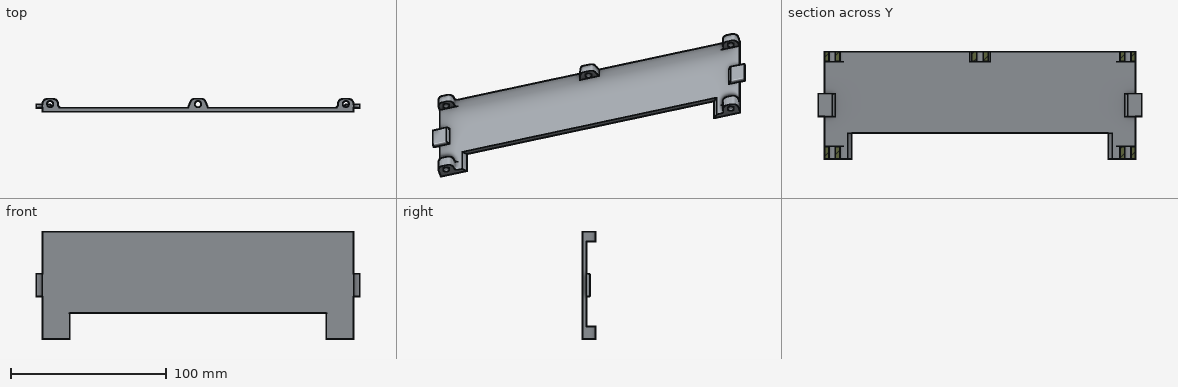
import cadquery as cq

total_length = 208.0
tab_reach = 4.0
plate_length = total_length - 2 * tab_reach
plate_height = 69.0
plate_thickness = 2.7
half_length = plate_length / 2

foot_width = 17.7
notch_height = 16.6

lug_depth = 8.5
end_lug_width = 10.2
end_lug_corner_radius = 3.5
end_lug_root_radius = 1.9
upper_lug_height = 6.5
lower_lug_height = 8.1
middle_lug_base = 13.0
middle_lug_top = 8.3
middle_lug_corner_radius = 3.0
hole_diameter = 4.0
hole_offset = 5.0

tab_front = 2.5
tab_back = 5.0
tab_bottom = 27.2
tab_height = 14.8
tab_fillet = 1.0
tab_root_length = 5.0
tab_slope_length = 2.0


def make_plate():
    notch_length = plate_length - 2 * foot_width
    plate = cq.Workplane("XY").box(
        plate_length, plate_thickness, plate_height, centered=(True, False, False)
    )
    half_notch_front = notch_length / 2
    half_notch_back = half_notch_front + plate_thickness
    notch = (
        cq.Workplane("XY")
        .polyline([
            (-half_notch_front, 0),
            (half_notch_front, 0),
            (half_notch_back, plate_thickness),
            (-half_notch_back, plate_thickness),
        ])
        .close()
        .extrude(notch_height)
    )
    return plate.cut(notch)


def make_left_lug(bottom, height):
    outer = -half_length
    inner = outer + end_lug_width
    lug = (
        cq.Workplane("XY", origin=(0, 0, bottom))
        .moveTo(outer, 0)
        .lineTo(outer, lug_depth - end_lug_corner_radius)
        .radiusArc((outer + end_lug_corner_radius, lug_depth), end_lug_corner_radius)
        .lineTo(inner - end_lug_corner_radius, lug_depth)
        .radiusArc((inner, lug_depth - end_lug_corner_radius), end_lug_corner_radius)
        .lineTo(inner, plate_thickness + end_lug_root_radius)
        .radiusArc((inner + end_lug_root_radius, plate_thickness), -end_lug_root_radius)
        .lineTo(inner + end_lug_root_radius, 0)
        .close()
        .extrude(height)
    )
    return lug


def make_middle_lug():
    lug = (
        cq.Workplane("XY", origin=(0, 0, plate_height - upper_lug_height))
        .polyline([
            (-middle_lug_base / 2, plate_thickness),
            (-middle_lug_top / 2, lug_depth),
            (middle_lug_top / 2, lug_depth),
            (middle_lug_base / 2, plate_thickness),
        ])
        .close()
        .extrude(upper_lug_height)
    )
    return lug.faces(">Y").edges("|Z").fillet(middle_lug_corner_radius)


def make_left_tab():
    outer = -total_length / 2
    slope_start = -half_length + tab_root_length
    slope_end = slope_start + tab_slope_length
    tab = (
        cq.Workplane("XY", origin=(0, 0, tab_bottom))
        .polyline([
            (outer, tab_front),
            (outer, tab_back),
            (slope_start, tab_back),
            (slope_end, tab_front),
        ])
        .close()
        .extrude(tab_height)
    )
    return tab.faces(">Y").edges("|X").fillet(tab_fillet)


def make_holes():
    hole_position = half_length - hole_offset
    upper_lug_bottom = plate_height - upper_lug_height
    centers = [(x, hole_offset) for x in (-hole_position, 0, hole_position)]
    holes = cq.Workplane("XY", origin=(0, 0, upper_lug_bottom)).pushPoints(centers)
    lower_holes = cq.Workplane("XY").pushPoints([centers[0], centers[-1]])
    return (
        holes.circle(hole_diameter / 2).extrude(upper_lug_height)
        .union(lower_holes.circle(hole_diameter / 2).extrude(lower_lug_height))
    )


left_features = (
    make_left_lug(0, lower_lug_height)
    .union(make_left_lug(plate_height - upper_lug_height, upper_lug_height))
    .union(make_left_tab())
)
result = (
    make_plate()
    .union(left_features)
    .union(left_features.mirror("YZ"))
    .union(make_middle_lug())
    .cut(make_holes())
)